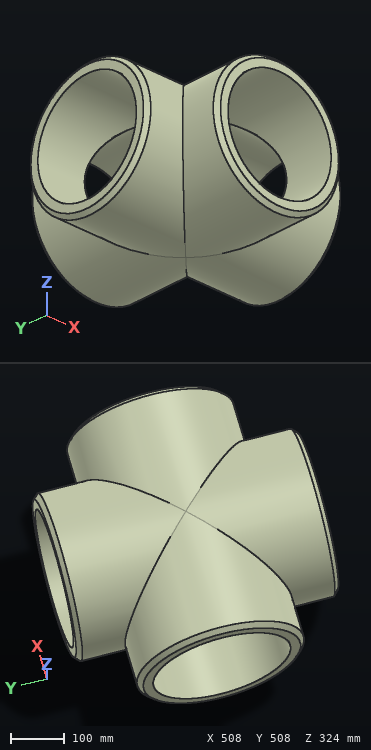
import cadquery as cq

length = 508.0
outer_diameter = 324.0
bore_diameter = 266.0
end_chamfer = 9.5


def centred_cylinder(plane, diameter):
    """Cylinder of the full pipe length, centred on the origin along the plane normal."""
    return cq.Workplane(plane).circle(diameter / 2).extrude(length / 2, both=True)


def chamfered_pipe_body(plane):
    """Solid outer body of one pipe with both outer rims chamfered."""
    return centred_cylinder(plane, outer_diameter).edges("%CIRCLE").chamfer(end_chamfer)


pipe_planes = ("YZ", "XZ")

result = chamfered_pipe_body(pipe_planes[0]).union(chamfered_pipe_body(pipe_planes[1]))
for pipe_plane in pipe_planes:
    result = result.cut(centred_cylinder(pipe_plane, bore_diameter))